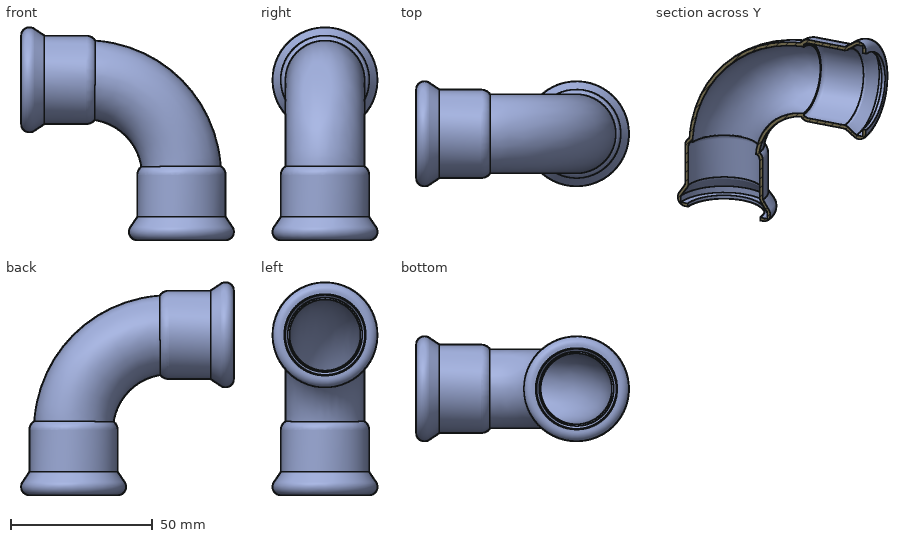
import cadquery as cq
import math

overall = 75.2
bead_diameter = 37.15
axis_reach = overall - bead_diameter / 2

socket_diameter = 31.3
bead_radius = 3.0
bead_cone_start = 4.6
socket_start = 8.3
socket_end = 23.0
shoulder_radius = 3.75
shoulder_drop = 2.25

bend_diameter = 28.0
bend_bore = 25.05
bend_radius = axis_reach - socket_end

mouth_diameter = 28.8
bore_diameter = 28.2
bore_start = 8.4
stop_diameter = 26.3
stop_arc_radius = 2.25
seal_groove_diameter = 34.1
mouth_lip = 1.35
seal_groove_floor_end = 3.75
seal_groove_end = 7.5


def revolve_profile(profile):
    """Turn a profile (x = axial distance, y = radius) about the X axis."""
    return profile.close().revolve(360, (0, 0, 0), (1, 0, 0))


def add_shoulder(profile, wall_r, arc_r, drop):
    """Arc from the wall at the socket end, tangent to it, then straight in to the axis."""
    length = math.sqrt(arc_r**2 - (arc_r - drop)**2)
    mid_length = length / 2
    mid_drop = arc_r - math.sqrt(arc_r**2 - mid_length**2)
    return (
        profile.threePointArc(
            (socket_end + mid_length, wall_r - mid_drop),
            (socket_end + length, wall_r - drop),
        )
        .lineTo(socket_end + length, 0)
    )


def socket_body():
    bead_r = bead_diameter / 2
    socket_r = socket_diameter / 2
    crest_r = bead_r - bead_radius
    cone_angle = math.asin((bead_cone_start - bead_radius) / bead_radius)
    cone_r = crest_r + bead_radius * math.cos(cone_angle)
    profile = (
        cq.Workplane("XZ")
        .moveTo(0, 0)
        .lineTo(0, crest_r)
        .threePointArc((bead_radius, bead_r), (bead_cone_start, cone_r))
        .lineTo(socket_start, socket_r)
        .lineTo(socket_end, socket_r)
    )
    return revolve_profile(add_shoulder(profile, socket_r, shoulder_radius, shoulder_drop))


def socket_cavity():
    mouth_r = mouth_diameter / 2
    groove_r = seal_groove_diameter / 2
    bore_r = bore_diameter / 2
    stop_drop = (bore_diameter - stop_diameter) / 2
    profile = (
        cq.Workplane("XZ")
        .moveTo(0, 0)
        .lineTo(0, mouth_r)
        .lineTo(mouth_lip, mouth_r)
        .lineTo(mouth_lip, groove_r)
        .lineTo(seal_groove_floor_end, groove_r)
        .lineTo(seal_groove_end, mouth_r)
        .lineTo(bore_start, bore_r)
        .lineTo(socket_end, bore_r)
    )
    return revolve_profile(add_shoulder(profile, bore_r, stop_arc_radius, stop_drop))


def bend_solid(diameter):
    """Quarter torus from the end of the -X socket down to the end of the -Z socket."""
    return (
        cq.Workplane("YZ", origin=(socket_end, 0, axis_reach))
        .circle(diameter / 2)
        .revolve(90, (0, -bend_radius, 0), (1, -bend_radius, 0))
    )


def at_both_ends(shape):
    """Place a socket shape along +X and its mirror twin along +Z."""
    horizontal = shape.translate((0, 0, axis_reach))
    vertical = shape.rotate((0, 0, 0), (0, 1, 0), -90).translate((axis_reach, 0, 0))
    return horizontal, vertical


def along_elbow(bend, socket):
    """Join a bend with a copy of the socket shape at each end."""
    for end in at_both_ends(socket):
        bend = bend.union(end)
    return bend


outside = along_elbow(bend_solid(bend_diameter), socket_body())
inside = along_elbow(bend_solid(bend_bore), socket_cavity())
result = outside.cut(inside)